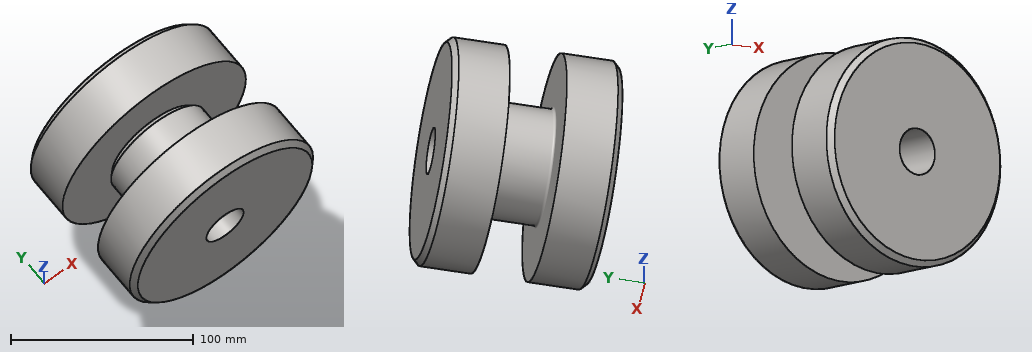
import cadquery as cq

disc_diameter = 127.0
disc_width = 31.8
hub_diameter = 64.8
hub_length = 31.8
bore_diameter = 25.8
chamfer = 3.2
root_fillet = 1.5

disc_radius = disc_diameter / 2
hub_radius = hub_diameter / 2
bore_radius = bore_diameter / 2
total_width = 2 * disc_width + hub_length
front_y = -total_width / 2
hub_start_y = front_y + disc_width
hub_end_y = hub_start_y + hub_length
back_y = hub_end_y + disc_width


def revolve_about_y(profile):
    """Turn a closed (radius, y) profile around the Y axis."""
    return cq.Workplane("XY").polyline(profile).close().revolve(360, (0, 0, 0), (0, 1, 0))


def make_hubbed_disc():
    """Front disc with a hub that is filleted at its root and chamfered at its free end."""
    disc_and_hub = revolve_about_y([
        (bore_radius, front_y),
        (disc_radius - chamfer, front_y),
        (disc_radius, front_y + chamfer),
        (disc_radius, hub_start_y),
        (hub_radius, hub_start_y),
        (hub_radius, hub_end_y - chamfer),
        (hub_radius - chamfer, hub_end_y),
        (bore_radius, hub_end_y),
    ])
    shoulder = disc_and_hub.faces("|Y").faces("<Y[1]")
    hub_root = shoulder.edges(cq.selectors.RadiusNthSelector(0))
    return hub_root.fillet(root_fillet)


def make_plain_disc():
    """Back disc, seated flat on the end of the hub, chamfered on its outer face."""
    return revolve_about_y([
        (bore_radius, hub_end_y),
        (disc_radius, hub_end_y),
        (disc_radius, back_y - chamfer),
        (disc_radius - chamfer, back_y),
        (bore_radius, back_y),
    ])


hubbed_disc = make_hubbed_disc()
plain_disc = make_plain_disc()

result = cq.Compound.makeCompound([hubbed_disc.val(), plain_disc.val()])